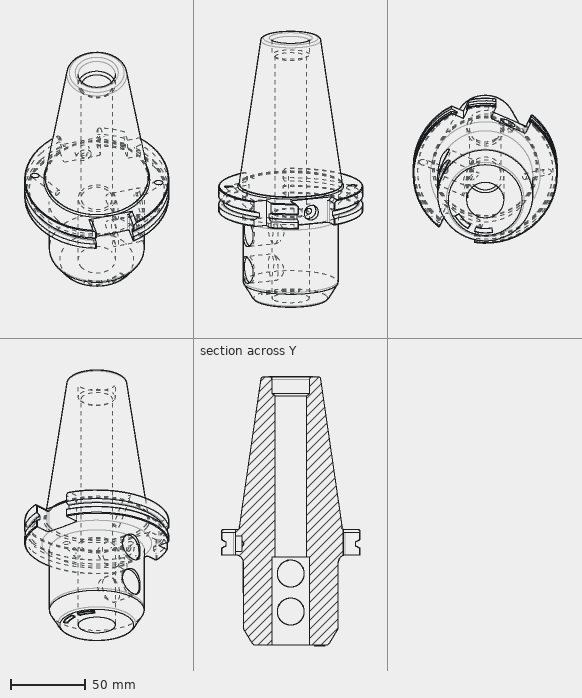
import cadquery as cq
import math

TOTAL_HEIGHT = 181.6

TAPER_RATIO = 7 / 24
TAPER_BASE_RADIUS = 34.9
TAPER_BASE_Z = 80.0
TAPER_TOP_FILLET = 1.8
TAPER_BASE_CHAMFER = 0.5
FOOT_RADIUS = 35.8

FLANGE_RADIUS = 48.7
FLANGE_TOP_Z = 78.6
FLANGE_BOTTOM_Z = 61.2
FLANGE_CHAMFER = 0.5
GROOVE_RADIUS = 45.5
GROOVE_Z = 68.8
GROOVE_FLOOR_WIDTH = 2.9
GROOVE_SHELF_WIDTH = 3.5
GROOVE_SHELF_RADIUS = 46.5
GROOVE_WALL_ANGLE = 30.0

SLOT_WIDTH = 25.8
SLOT_FLOOR_MINUS_X = 37.5
SLOT_FLOOR_PLUS_X = 35.5
SLOT_FLOOR_FILLET = 1.0
SLOT_TOP_CHAMFER = 2.2
SLOT_RIM_CHAMFER = 0.7

NOTCH_X = -29.8
NOTCH_Y = 29.6

CHIP_HOLE_RADIUS = 5.0
CHIP_HOLE_DEPTH = 4.5
CHIP_HOLE_DROP = 0.9
CHIP_CENTRE_RADIUS = 2.0
CHIP_CENTRE_DEPTH = 1.3

NOSE_RADIUS = 32.1
NOSE_FILLET = 4.9
NOSE_BOTTOM_Z = 0.5
NOSE_TIP_RADIUS = 24.9
NOSE_TIP_CHAMFER = 1.3
NOSE_CONE_TOP_Z = 11.5
NOSE_EDGE_HEIGHT = 1.5
NOSE_EDGE_INSET = 0.2

THROUGH_RADIUS = 10.5
THREAD_RADIUS = 12.5
THREAD_DEPTH = 11.5
THREAD_CONE_HEIGHT = 1.5
THREAD_ROUND = 2.0
TOOL_BORE_RADIUS = 12.5
TOOL_BORE_TOP_Z = 60.0

COOLANT_X = 14.2
COOLANT_Y = 39.4
COOLANT_RADIUS = 2.0
COOLANT_DEPTH = 21.8

SCREW_RADIUS = 9.0
SCREW_ZS = (23.2, 48.9)
SCREW_INNER_Y = 12.7
SCREW_OUTER_Y = 30.0

MARK_INNER_RADIUS = 20.0
MARK_OUTER_RADIUS = 23.0
MARK_START_ANGLE = 6.0
MARK_END_ANGLE = 37.0

CUT_MARGIN = 1.8


def taper_radius(z):
    """Radius of the steep taper at height z."""
    return TAPER_BASE_RADIUS - (z - TAPER_BASE_Z) * TAPER_RATIO / 2


def holder_blank():
    """Solid of revolution: nose, flange with its V groove, and taper."""
    tip_shoulder_z = NOSE_BOTTOM_Z + NOSE_TIP_CHAMFER
    tip_shoulder_radius = NOSE_TIP_RADIUS + NOSE_TIP_CHAMFER
    flange_edge_radius = FLANGE_RADIUS - FLANGE_CHAMFER
    groove_slope = (FLANGE_RADIUS - GROOVE_SHELF_RADIUS) * math.tan(math.radians(GROOVE_WALL_ANGLE))
    groove_floor = GROOVE_FLOOR_WIDTH / 2
    groove_shelf = GROOVE_SHELF_WIDTH / 2
    groove_mouth = groove_shelf + groove_slope
    fillet_mid = NOSE_FILLET * (1 - math.sqrt(0.5))
    profile = (
        cq.Workplane("XZ")
        .moveTo(0, NOSE_BOTTOM_Z)
        .lineTo(NOSE_TIP_RADIUS, NOSE_BOTTOM_Z)
        .lineTo(tip_shoulder_radius, tip_shoulder_z)
        .lineTo(NOSE_RADIUS - NOSE_EDGE_INSET, NOSE_CONE_TOP_Z)
        .lineTo(NOSE_RADIUS, NOSE_CONE_TOP_Z + NOSE_EDGE_HEIGHT)
        .lineTo(NOSE_RADIUS, FLANGE_BOTTOM_Z - NOSE_FILLET)
        .threePointArc(
            (NOSE_RADIUS + fillet_mid, FLANGE_BOTTOM_Z - fillet_mid),
            (NOSE_RADIUS + NOSE_FILLET, FLANGE_BOTTOM_Z),
        )
        .lineTo(flange_edge_radius, FLANGE_BOTTOM_Z)
        .lineTo(FLANGE_RADIUS, FLANGE_BOTTOM_Z + FLANGE_CHAMFER)
        .lineTo(FLANGE_RADIUS, GROOVE_Z - groove_mouth)
        .lineTo(GROOVE_SHELF_RADIUS, GROOVE_Z - groove_shelf)
        .lineTo(GROOVE_RADIUS, GROOVE_Z - groove_floor)
        .lineTo(GROOVE_RADIUS, GROOVE_Z + groove_floor)
        .lineTo(GROOVE_SHELF_RADIUS, GROOVE_Z + groove_shelf)
        .lineTo(FLANGE_RADIUS, GROOVE_Z + groove_mouth)
        .lineTo(FLANGE_RADIUS, FLANGE_TOP_Z - FLANGE_CHAMFER)
        .lineTo(flange_edge_radius, FLANGE_TOP_Z)
        .lineTo(FOOT_RADIUS, FLANGE_TOP_Z)
        .lineTo(TAPER_BASE_RADIUS - TAPER_BASE_CHAMFER, TAPER_BASE_Z - TAPER_BASE_CHAMFER)
        .lineTo(TAPER_BASE_RADIUS, TAPER_BASE_Z)
        .lineTo(taper_radius(TOTAL_HEIGHT), TOTAL_HEIGHT)
        .lineTo(0, TOTAL_HEIGHT)
        .close()
    )
    return profile.revolve(360, (0, 0), (0, 1)).faces(">Z").edges().fillet(TAPER_TOP_FILLET)


def axial_bores():
    """Tool bore, through bore and thread bore as one cutting tool."""
    thread_bottom_z = TOTAL_HEIGHT - THREAD_DEPTH
    round_mid = THREAD_ROUND * (1 - math.sqrt(0.5))
    return (
        cq.Workplane("XZ")
        .lineTo(TOOL_BORE_RADIUS, 0)
        .lineTo(TOOL_BORE_RADIUS, TOOL_BORE_TOP_Z)
        .lineTo(THROUGH_RADIUS, TOOL_BORE_TOP_Z)
        .lineTo(THROUGH_RADIUS, thread_bottom_z - THREAD_CONE_HEIGHT)
        .lineTo(THREAD_RADIUS, thread_bottom_z)
        .lineTo(THREAD_RADIUS, TOTAL_HEIGHT - THREAD_ROUND)
        .threePointArc(
            (THREAD_RADIUS + round_mid, TOTAL_HEIGHT - round_mid),
            (THREAD_RADIUS + THREAD_ROUND, TOTAL_HEIGHT),
        )
        .lineTo(0, TOTAL_HEIGHT)
        .close()
        .revolve(360, (0, 0), (0, 1))
    )


def drive_slot(floor, side):
    """Slot cutter for +X (side = 1) or -X (side = -1), widened at the rim and the flange top."""
    half_width = SLOT_WIDTH / 2
    bottom_z = FLANGE_BOTTOM_Z - NOSE_FILLET
    outer_x = FLANGE_RADIUS + CUT_MARGIN
    rim_x = math.sqrt(FLANGE_RADIUS**2 - half_width**2) - SLOT_RIM_CHAMFER
    outer_half_width = half_width + outer_x - rim_x
    floor_edges = "|Z and <X" if side > 0 else "|Z and >X"
    slot = (
        cq.Workplane("XY", origin=(0, 0, bottom_z))
        .moveTo(side * floor, -half_width)
        .lineTo(side * rim_x, -half_width)
        .lineTo(side * outer_x, -outer_half_width)
        .lineTo(side * outer_x, outer_half_width)
        .lineTo(side * rim_x, half_width)
        .lineTo(side * floor, half_width)
        .close()
        .extrude(FLANGE_TOP_Z - bottom_z)
        .edges(floor_edges)
        .fillet(SLOT_FLOOR_FILLET)
    )
    chamfer = (
        cq.Workplane("YZ", origin=(side * floor, 0, 0))
        .moveTo(-half_width, FLANGE_TOP_Z - SLOT_TOP_CHAMFER)
        .lineTo(half_width, FLANGE_TOP_Z - SLOT_TOP_CHAMFER)
        .lineTo(half_width + SLOT_TOP_CHAMFER, FLANGE_TOP_Z)
        .lineTo(-half_width - SLOT_TOP_CHAMFER, FLANGE_TOP_Z)
        .close()
        .extrude(side * (outer_x - floor))
    )
    return slot.union(chamfer)


def orientation_notch():
    """Square corner cut through the flange on the -X, +Y side."""
    size_x = FLANGE_RADIUS + NOTCH_X
    size_y = FLANGE_RADIUS - NOTCH_Y
    return cq.Workplane("XY", origin=(-FLANGE_RADIUS, NOTCH_Y, FLANGE_BOTTOM_Z)).box(
        size_x, size_y, FLANGE_TOP_Z - FLANGE_BOTTOM_Z, centered=False
    )


def chip_hole():
    """Flat-bottomed hole along +X with a conical drilled centre."""
    floor_x = CHIP_HOLE_DEPTH - SLOT_FLOOR_MINUS_X
    chip_z = (FLANGE_TOP_Z + FLANGE_BOTTOM_Z) / 2 - CHIP_HOLE_DROP
    return (
        cq.Workplane("XY", origin=(0, 0, chip_z))
        .moveTo(-SLOT_FLOOR_MINUS_X, 0)
        .lineTo(-SLOT_FLOOR_MINUS_X, CHIP_HOLE_RADIUS)
        .lineTo(floor_x, CHIP_HOLE_RADIUS)
        .lineTo(floor_x, CHIP_CENTRE_RADIUS)
        .lineTo(floor_x + CHIP_CENTRE_DEPTH, 0)
        .close()
        .revolve(360, (0, 0), (1, 0))
    )


def coolant_hole(side):
    """Hole that sinks at 45 degrees from the flange top toward the axis."""
    reach = math.hypot(COOLANT_X, COOLANT_Y)
    outward = cq.Vector(side * COOLANT_X / reach, side * COOLANT_Y / reach, 0)
    inward_down = (cq.Vector(0, 0, -1) - outward).normalized()
    mouth = outward * reach + cq.Vector(0, 0, FLANGE_TOP_Z)
    lead_in = 2 * COOLANT_RADIUS
    start = mouth - inward_down * lead_in
    length = lead_in + COOLANT_DEPTH
    return cq.Workplane(cq.Solid.makeCylinder(COOLANT_RADIUS, length, start, inward_down))


def screw_hole(z):
    """Cross hole from the +Y side into the tool bore."""
    return cq.Workplane("XZ", origin=(0, 0, z)).circle(SCREW_RADIUS).extrude(-FLANGE_RADIUS)


def raised_mark(start_angle):
    """Ring segment standing out from the bottom face."""
    def point(radius, angle):
        turn = math.radians(angle)
        return (radius * math.cos(turn), radius * math.sin(turn))

    end_angle = start_angle + MARK_END_ANGLE - MARK_START_ANGLE
    middle_angle = (start_angle + end_angle) / 2
    return (
        cq.Workplane("XY")
        .moveTo(*point(MARK_INNER_RADIUS, start_angle))
        .lineTo(*point(MARK_OUTER_RADIUS, start_angle))
        .threePointArc(point(MARK_OUTER_RADIUS, middle_angle), point(MARK_OUTER_RADIUS, end_angle))
        .lineTo(*point(MARK_INNER_RADIUS, end_angle))
        .threePointArc(point(MARK_INNER_RADIUS, middle_angle), point(MARK_INNER_RADIUS, start_angle))
        .close()
        .extrude(NOSE_BOTTOM_Z)
    )


def make_holder():
    """Tool holder with all its cuts."""
    body = holder_blank().cut(axial_bores())
    body = body.cut(drive_slot(SLOT_FLOOR_MINUS_X, -1)).cut(drive_slot(SLOT_FLOOR_PLUS_X, 1))
    body = body.cut(orientation_notch()).cut(chip_hole())
    for side in (-1, 1):
        body = body.cut(coolant_hole(side))
    for z in SCREW_ZS:
        body = body.cut(screw_hole(z))
    for start_angle in (MARK_START_ANGLE, -MARK_END_ANGLE):
        body = body.union(raised_mark(start_angle))
    return body


def make_screw(z):
    """Plain headless screw that fills its hole between the bore and the nose surface."""
    length = SCREW_OUTER_Y - SCREW_INNER_Y
    return cq.Workplane("XZ", origin=(0, SCREW_INNER_Y, z)).circle(SCREW_RADIUS).extrude(-length)


holder = make_holder()
screws = [make_screw(z) for z in SCREW_ZS]

result = cq.Compound.makeCompound([holder.val(), *[screw.val() for screw in screws]])